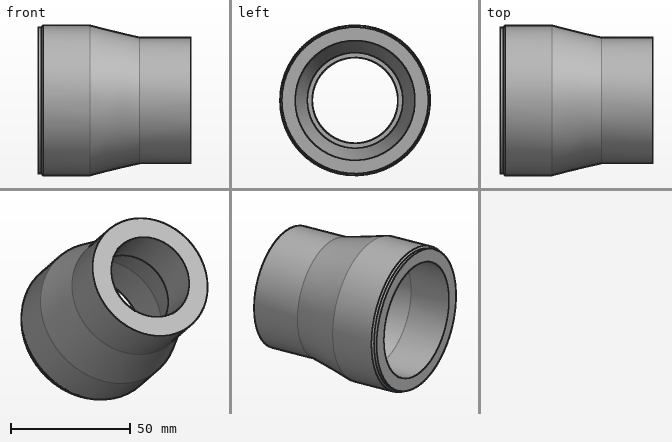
import cadquery as cq

total_length = 64.0
collar_length = 1.35
chamfer_length = 0.8
taper_start = 21.6
taper_end = 42.4

collar_diameter = 61.3
body_diameter = 63.0
spigot_diameter = 52.8
taper_sag = 0.1

socket_diameter = 50.2
throat_diameter = 40.0
bore_diameter = 35.8
socket_depth = 19.0
throat_depth = taper_end

chamfer_end = collar_length + chamfer_length
collar_radius = collar_diameter / 2
body_radius = body_diameter / 2
spigot_radius = spigot_diameter / 2
taper_middle = (
    (taper_start + taper_end) / 2,
    (body_radius + spigot_radius) / 2 - taper_sag,
)

outer_profile = (
    cq.Workplane("XY")
    .lineTo(0, collar_radius)
    .lineTo(collar_length, collar_radius)
    .lineTo(chamfer_end, body_radius)
    .lineTo(taper_start, body_radius)
    .threePointArc(taper_middle, (taper_end, spigot_radius))
    .lineTo(total_length, spigot_radius)
    .lineTo(total_length, 0)
    .close()
)

bore_profile = (
    cq.Workplane("XY")
    .lineTo(0, socket_diameter / 2)
    .lineTo(socket_depth, socket_diameter / 2)
    .lineTo(throat_depth, throat_diameter / 2)
    .lineTo(throat_depth, bore_diameter / 2)
    .lineTo(total_length, bore_diameter / 2)
    .lineTo(total_length, 0)
    .close()
)


def revolve_about_x(profile):
    return profile.revolve(360, (0, 0, 0), (1, 0, 0))


result = revolve_about_x(outer_profile).cut(revolve_about_x(bore_profile))